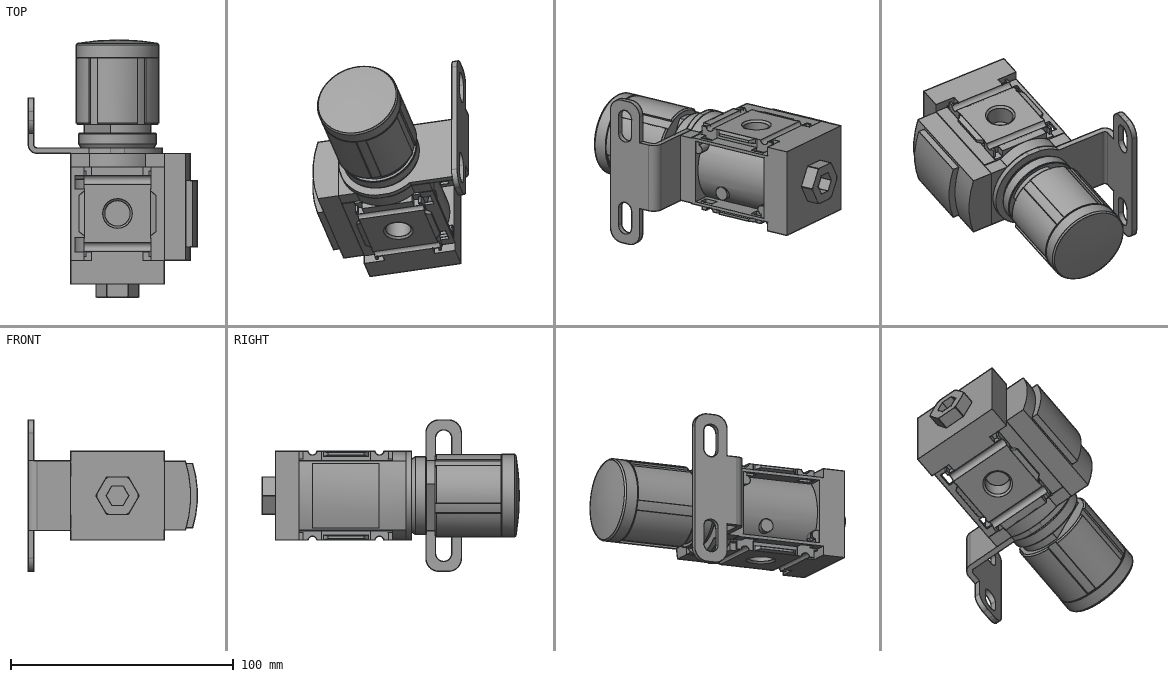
import cadquery as cq
import math


frame_half_width = 21.0
rear_half_height = 15.5
frame_half_height = 15.8
block_half_height = 20.0
rear_plate_front = -6.1
block_rear = -47.9
block_front = -58.6

pad_half_width = 15.1
groove_radius = 2.0
groove_depth = 1.7
groove_positions = [-11.9, -41.9]
port_y = -26.9
port_diameter = 11.4
port_chamfer = 0.9
port_depth = 9.2
notch_width = 3.6
notch_length = 3.7
notch_floor = 16.5
lip_width = 1.0
lip_length = 2.0
side_recess_length = 22.0
side_recess_depth = 0.2
lug_base = (20.1, 2.3)
lug_tip = (16.2, 1.2)
lug_height_center = 18.7
lug_reach = 17.3

core_radius = 19.0
window_rear = -8.3
window_front = -46.0
window_half_height = 14.4
window_center_y = (window_rear + window_front) / 2
clip_outer = 19.0
clip_spans = [(-15.9, -9.9), (-44.1, -37.8)]
tab_face = 20.8
tab_radius = 2.1
tab_end_offset = 1.4
tab_height_center = 10.9
tab_web = 1.7
pin_diameter = 6.1
pin_y = -21.0
pin_z = -8.5
pin_face = 18.7

plug_front = -64.6
plug_flats = 16.9
plug_corner_diameter = 19.3
plug_edge_chamfer = 0.3
socket_flats = 8.8
socket_depth = 5.8

stem_diameter = 31.6
stem_flat_distance = 10.4
stem_flat_angle = 30.0
nut_diameter = 35.0
nut_rear = 9.1
nut_bevel_height = 1.7
nut_bevel = 1.2
nut_edge_chamfer = 0.3
knob_diameter = 37.2
knob_front = 13.0
knob_front_chamfer = 0.7
cap_seam = 42.7
seam_width = 0.3
seam_depth = 0.2
cap_shoulder = 49.4
cap_bevel = 0.6
cap_bevel_height = 0.8
knob_rear = 50.9
grip_count = 5
grip_angle = 14.5
grip_depth = 0.9

gauge_half_height = 15.5
gauge_edge = 30.5
gauge_crown = 32.8
lens_half_height = 14.4
lens_edge = 33.7
lens_crown = 35.9
lens_rear = -12.1
lens_front = -41.9

sheet = 2.5
bracket_left = -40.1
bend_radius = 4.0
strip_half_width = 15.7
eye_radius = 20.2
eye_hole_diameter = 32.0
leg_rear = 25.0
leg_front = 8.9
leg_length = 68.0
leg_corner_radius = 6.0
slot_width = 7.2
slot_outer_end = 29.5
slot_inner_end = 14.4


def box(x_range, y_range, z_range):
    """Box between two limits along each axis."""
    size = [high - low for low, high in (x_range, y_range, z_range)]
    corner = (x_range[0], y_range[0], z_range[0])
    return cq.Workplane("XY").box(*size, centered=False).translate(corner)


def xz_plane(y):
    """Workplane at the given Y whose extrusions run toward -Y."""
    return cq.Workplane("XZ", origin=(0, y, 0))


def yz_plane(x):
    """Workplane at the given X whose extrusions run toward +X."""
    return cq.Workplane("YZ", origin=(x, 0, 0))


def mirrored_z(shape):
    """The shape together with its mirror image below the XY plane."""
    return shape.union(shape.mirror("XY"))


def mirrored_x(shape):
    """The shape together with its mirror image across the YZ plane."""
    return shape.union(shape.mirror("YZ"))



def frame():
    """Rear plate with its round collar, middle frame and taller front block."""
    across = (-frame_half_width, frame_half_width)
    rear = box(across, (rear_plate_front, 0), (-rear_half_height, rear_half_height))
    collar = xz_plane(0).circle(block_half_height).extrude(-rear_plate_front)
    middle = box(across, (block_rear, rear_plate_front), (-frame_half_height, frame_half_height))
    block = box(across, (block_front, block_rear), (-block_half_height, block_half_height))
    return rear.union(collar).union(middle).union(block)


def pad_notch(y_low, lip_low):
    """Corner notch of a pad that leaves a small lip standing at the pad side."""
    heights = (notch_floor, block_half_height)
    notch = box((pad_half_width - notch_width, pad_half_width), (y_low, y_low + notch_length), heights)
    lip = box((pad_half_width - lip_width, pad_half_width), (lip_low, lip_low + lip_length), heights)
    return notch.cut(lip)


def pad_lug():
    """Tapered lug on the +X side of the upper pad."""
    root = pad_half_width - side_recess_depth
    return (
        cq.Workplane("YZ", origin=(root, port_y, lug_height_center))
        .rect(*lug_base)
        .workplane(offset=lug_reach - root)
        .rect(*lug_tip)
        .loft(combine=True)
    )


def upper_pad():
    """Port pad with cross grooves, corner notches and side lugs."""
    heights = (frame_half_height, block_half_height)
    pad = box((-pad_half_width, pad_half_width), (block_rear, rear_plate_front), heights)
    groove_center_z = block_half_height - groove_depth + groove_radius
    for y in groove_positions:
        groove = yz_plane(-pad_half_width).center(y, groove_center_z).circle(groove_radius)
        pad = pad.cut(groove.extrude(2 * pad_half_width))
    rear_notch_low = rear_plate_front - notch_length
    front_lip_low = block_rear + notch_length - lip_length
    notches = pad_notch(rear_notch_low, rear_notch_low).union(pad_notch(block_rear, front_lip_low))
    half_recess = side_recess_length / 2
    recess = box(
        (pad_half_width - side_recess_depth, pad_half_width),
        (port_y - half_recess, port_y + half_recess),
        heights,
    )
    return pad.cut(mirrored_x(notches.union(recess))).union(mirrored_x(pad_lug()))


def upper_port():
    """Blind port hole with a chamfered mouth."""
    radius = port_diameter / 2
    mouth_radius = radius + port_chamfer
    bottom = block_half_height - port_depth
    profile = [
        (0, bottom),
        (radius, bottom),
        (radius, block_half_height - port_chamfer),
        (mouth_radius, block_half_height),
        (0, block_half_height),
    ]
    port = cq.Workplane("XZ").polyline(profile).close().revolve(360, (0, 0), (0, 1))
    return port.translate((0, port_y, 0))


def window_tab():
    """Round-nosed tab in the upper rear corner of the window."""
    nose_y = window_rear - tab_end_offset
    nose = yz_plane(-tab_face).center(nose_y, tab_height_center).circle(tab_radius).extrude(tab_face)
    across = (-tab_face, 0)
    root = box(
        across,
        (nose_y, window_rear),
        (tab_height_center - tab_radius, window_half_height),
    )
    web = box(across, (window_rear - tab_web, window_rear), (tab_height_center, window_half_height))
    return nose.union(root).union(web)


def window():
    """Cavity between the left face and the round core, around two tabs and a pin."""
    cavity = box(
        (-frame_half_width, 0),
        (window_front, window_rear),
        (-window_half_height, window_half_height),
    )
    core = xz_plane(window_rear).circle(core_radius).extrude(window_rear - window_front)
    tab = window_tab()
    opposite_tab = tab.rotate((0, window_center_y, 0), (1, window_center_y, 0), 180)
    pin = yz_plane(-pin_face).center(pin_y, pin_z).circle(pin_diameter / 2).extrude(pin_face)
    return cavity.cut(core).cut(tab).cut(opposite_tab).cut(pin)


def clip_openings():
    """Openings through the upper wall beside the pad, down to the core."""
    core = xz_plane(0).circle(core_radius).extrude(-block_rear)
    tab = window_tab()
    openings = cq.Workplane("XY")
    for span in clip_spans:
        openings = openings.add(box((-clip_outer, -pad_half_width), span, (0, frame_half_height)))
    return openings.combine().cut(core).cut(tab)


def hexagon(plane, flats, length):
    """Hexagonal prism with flats facing up and down."""
    return plane.polygon(6, flats / math.cos(math.pi / 6)).extrude(length)


def plug():
    """Hexagon plug with trimmed corners and a hexagon socket."""
    length = block_front - plug_front
    body = hexagon(xz_plane(block_front), plug_flats, length)
    trim = xz_plane(block_front).circle(plug_corner_diameter / 2).extrude(length)
    trim = trim.faces("<Y").chamfer(plug_edge_chamfer)
    socket = hexagon(xz_plane(plug_front + socket_depth), socket_flats, socket_depth)
    return body.intersect(trim).cut(socket)


def stem():
    """Round stem, with two parallel wrench flats between the nut and the knob."""
    radius = stem_diameter / 2
    body = xz_plane(knob_front).circle(radius).extrude(knob_front)
    for side in (-1, 1):
        low, high = sorted((side * stem_flat_distance, side * stem_diameter))
        beyond_flat = box((low, high), (nut_rear, knob_front), (-stem_diameter, stem_diameter))
        body = body.cut(beyond_flat.rotate((0, 0, 0), (0, 1, 0), stem_flat_angle))
    return body


def ring_nut():
    """Ring on the stem that clamps the bracket."""
    radius = nut_diameter / 2
    profile = [
        (0, sheet),
        (radius - nut_bevel, sheet),
        (radius, sheet + nut_bevel_height),
        (radius, nut_rear - nut_edge_chamfer),
        (radius - nut_edge_chamfer, nut_rear),
        (0, nut_rear),
    ]
    return cq.Workplane("XY").polyline(profile).close().revolve(360, (0, 0), (0, 1))


def grip_recess(angle):
    """Shallow lengthwise recess in the knob side, centred at an angle from +Z."""
    length = cap_seam - knob_front
    outer = knob_diameter
    half = math.radians(grip_angle / 2)
    wedge = (
        xz_plane(cap_seam)
        .polyline([(0, 0), (-outer * math.sin(half), outer), (outer * math.sin(half), outer)])
        .close()
        .extrude(length)
    )
    inside = xz_plane(cap_seam).circle(knob_diameter / 2 - grip_depth).extrude(length)
    return wedge.cut(inside).rotate((0, 0, 0), (0, 1, 0), angle)


def dome_radius(half_chord, rise):
    """Radius of an arc from its half chord and its rise."""
    return (half_chord**2 + rise**2) / (2 * rise)


def knob():
    """Domed knob with a cap seam and grip recesses."""
    radius = knob_diameter / 2
    body = (
        cq.Workplane("XY")
        .moveTo(0, knob_front)
        .lineTo(radius - knob_front_chamfer, knob_front)
        .lineTo(radius, knob_front + knob_front_chamfer)
        .lineTo(radius, cap_seam)
        .lineTo(radius - seam_depth, cap_seam)
        .lineTo(radius - seam_depth, cap_seam + seam_width)
        .lineTo(radius, cap_seam + seam_width)
        .lineTo(radius, cap_shoulder - cap_bevel_height)
        .lineTo(radius - cap_bevel, cap_shoulder)
        .radiusArc((0, knob_rear), -dome_radius(radius - cap_bevel, knob_rear - cap_shoulder))
        .close()
        .revolve(360, (0, 0), (0, 1))
    )
    pitch = 360 / grip_count
    for i in range(grip_count):
        body = body.cut(grip_recess((i + 0.5) * pitch))
    return body


def make_housing():
    body = frame().union(mirrored_z(upper_pad()))
    body = body.cut(mirrored_z(upper_port())).cut(window()).cut(mirrored_z(clip_openings()))
    return body.union(plug()).union(stem()).union(ring_nut()).union(knob())



def crowned_block(half_height, edge, crown, rear, front):
    """Block on the right housing face whose outer face is an arc in the XZ plane."""
    return (
        xz_plane(rear)
        .moveTo(frame_half_width, -half_height)
        .lineTo(edge, -half_height)
        .threePointArc((crown, 0), (edge, half_height))
        .lineTo(frame_half_width, half_height)
        .close()
        .extrude(rear - front)
    )


def make_gauge():
    case = crowned_block(gauge_half_height, gauge_edge, gauge_crown, 0, block_rear)
    lens = crowned_block(lens_half_height, lens_edge, lens_crown, lens_rear, lens_front)
    return case.union(lens)



def bent_strip():
    """L-shaped strip with a rounded bend."""
    inner_radius = bend_radius - sheet
    bend_x = bracket_left + bend_radius
    turn = math.sqrt(0.5)
    outer_mid = (bend_x - bend_radius * turn, bend_radius - bend_radius * turn)
    inner_mid = (bend_x - inner_radius * turn, bend_radius - inner_radius * turn)
    return (
        cq.Workplane("XY", origin=(0, 0, -strip_half_width))
        .moveTo(0, 0)
        .lineTo(bend_x, 0)
        .threePointArc(outer_mid, (bracket_left, bend_radius))
        .lineTo(bracket_left, leg_front)
        .lineTo(bracket_left + sheet, leg_front)
        .lineTo(bracket_left + sheet, bend_radius)
        .threePointArc(inner_mid, (bend_x, sheet))
        .lineTo(0, sheet)
        .close()
        .extrude(2 * strip_half_width)
    )


def slotted_leg():
    """Upright plate with rounded corners and a slot near each end."""
    center_y = (leg_rear + leg_front) / 2
    slot_center = (slot_outer_end + slot_inner_end) / 2
    plate = (
        yz_plane(bracket_left)
        .center(center_y, 0)
        .rect(leg_rear - leg_front, leg_length)
        .extrude(sheet)
        .edges("|X")
        .fillet(leg_corner_radius)
    )
    slots = (
        yz_plane(bracket_left)
        .pushPoints([(center_y, slot_center), (center_y, -slot_center)])
        .slot2D(slot_outer_end - slot_inner_end, slot_width, 90)
        .extrude(sheet)
    )
    return plate.cut(slots)


def make_bracket():
    eye = xz_plane(sheet).circle(eye_radius).extrude(sheet)
    eye = eye.intersect(
        box((-eye_radius, eye_radius), (0, sheet), (-block_half_height, block_half_height))
    )
    hole = xz_plane(sheet).circle(eye_hole_diameter / 2).extrude(sheet)
    return bent_strip().union(eye).cut(hole).union(slotted_leg())


housing = make_housing()
gauge = make_gauge()
bracket = make_bracket()

result = cq.Compound.makeCompound([body.solids().val() for body in (housing, gauge, bracket)])